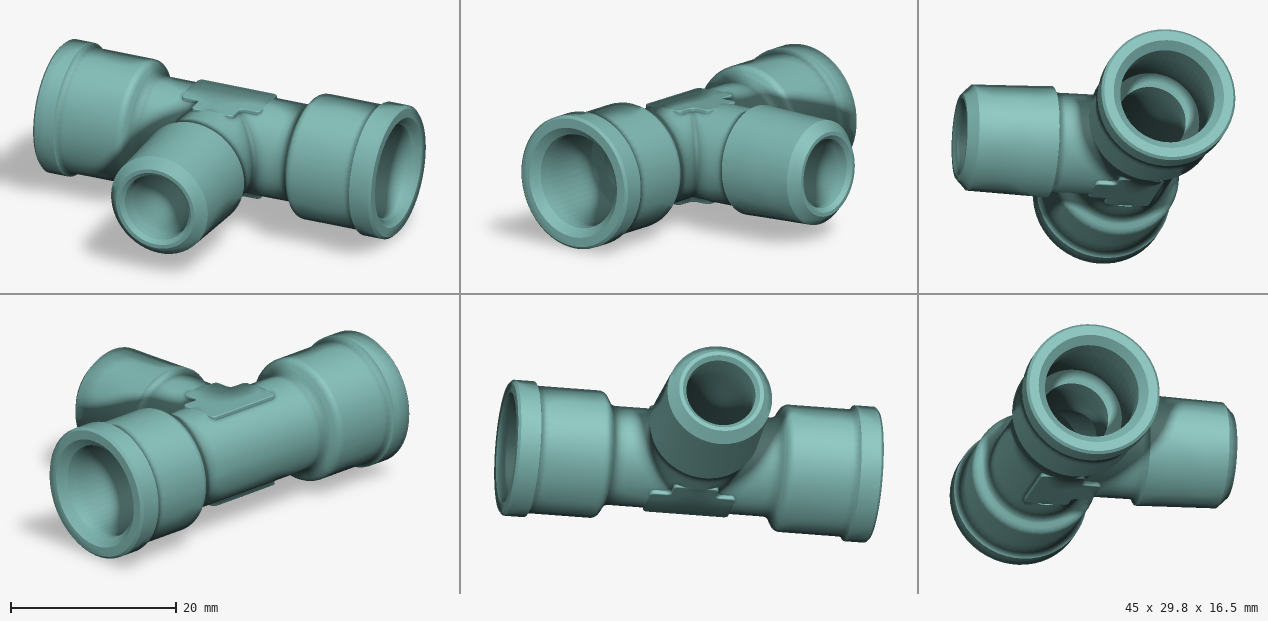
import cadquery as cq
import math

run_length = 45.0
run_end = run_length / 2
overall_depth = 29.75
neck_radius = 12.0 / 2
bore_radius = 8.5 / 2

collar_radius = 16.5 / 2
branch_end = overall_depth - collar_radius
collar_width = 2.8
collar_chamfer = 0.3
collar_fillet = 0.75
socket_radius = 15.5 / 2
socket_length = 11.4
shoulder_angle = math.radians(60)
shoulder_fillet = 1.0
socket_bore_radius = 11.6 / 2
socket_bore_depth = 10.8
socket_mouth_radius = 6.8
drill_point_half_angle = math.radians(68)

thread_start = 10.45
thread_radius = 6.75
thread_taper = 1 / 16
thread_fillet = 0.85
rear_face_inner_radius = 6.5
rear_face_depth = 0.1
tip_chamfer = 1.2
mouth_chamfer = 0.5

pad_height = 5.9
pad_root_height = 4.05
pad_half_length = 5.25
pad_half_width = 2.75
pad_stem_reach = 5.2
pad_corner_radius = 0.6
pad_edge_fillet = 0.15
crease_fillet = 0.45


def fillet_reach(radius, step):
    """Axial length of a concave fillet cut off by a step lower than its radius."""
    return math.sqrt(radius**2 - (radius - step) ** 2)


def fillet_middle(radius, step, tangent_x, base_radius):
    """Point halfway along a concave fillet that starts tangent to a cylinder."""
    half_sweep = math.acos((radius - step) / radius) / 2
    along = radius * math.sin(half_sweep)
    rise = radius * (1 - math.cos(half_sweep))
    return (tangent_x + along, base_radius + rise)


def make_run_half():
    """Half of the run from the centre to +X, without its bore."""
    collar_start = run_end - collar_width
    collar_step = collar_radius - socket_radius
    tangent_x = collar_start - fillet_reach(collar_fillet, collar_step)
    shoulder_top = run_end - socket_length
    shoulder_bottom = shoulder_top - (socket_radius - neck_radius) / math.tan(shoulder_angle)
    half = (
        cq.Workplane("XY")
        .moveTo(0, 0)
        .lineTo(0, neck_radius)
        .lineTo(shoulder_bottom, neck_radius)
        .lineTo(shoulder_top, socket_radius)
        .lineTo(tangent_x, socket_radius)
        .threePointArc(
            fillet_middle(collar_fillet, collar_step, tangent_x, socket_radius),
            (collar_start, collar_radius),
        )
        .lineTo(run_end - collar_chamfer, collar_radius)
        .lineTo(run_end, collar_radius - collar_chamfer)
        .lineTo(run_end, 0)
        .close()
        .revolve(360, (0, 0, 0), (1, 0, 0))
    )
    margin = 0.05
    shoulder_edges = cq.selectors.BoxSelector(
        (shoulder_bottom - margin, -collar_radius, -collar_radius),
        (shoulder_top + margin, collar_radius, collar_radius),
    )
    return half.edges("%CIRCLE").edges(shoulder_edges).fillet(shoulder_fillet)


def make_branch():
    """Branch neck and tapered male end, without its bore."""
    rear_step = rear_face_inner_radius - neck_radius
    rear_face_x = thread_start - rear_face_depth
    tangent_x = rear_face_x - fillet_reach(thread_fillet, rear_step)
    chamfer_start = branch_end - tip_chamfer
    small_radius = thread_radius - (chamfer_start - thread_start) * thread_taper / 2
    return (
        cq.Workplane("XY")
        .moveTo(0, 0)
        .lineTo(0, neck_radius)
        .lineTo(tangent_x, neck_radius)
        .threePointArc(
            fillet_middle(thread_fillet, rear_step, tangent_x, neck_radius),
            (rear_face_x, rear_face_inner_radius),
        )
        .lineTo(thread_start, thread_radius)
        .lineTo(chamfer_start, small_radius)
        .lineTo(branch_end, small_radius - tip_chamfer)
        .lineTo(branch_end, 0)
        .close()
        .revolve(360, (0, 0, 0), (1, 0, 0))
        .rotate((0, 0, 0), (0, 0, 1), -90)
    )


def pad_prism(bottom, top):
    """Upright T-shaped prism with rounded corners."""
    bar = cq.Workplane("XY").box(2 * pad_half_length, 2 * pad_half_width, top - bottom)
    stem = (
        cq.Workplane("XY")
        .center(0, -pad_stem_reach / 2)
        .box(2 * pad_half_width, pad_stem_reach, top - bottom)
    )
    prism = bar.union(stem).translate((0, 0, (bottom + top) / 2))
    return prism.edges("|Z").fillet(pad_corner_radius)


def make_socket_bore():
    """Bore of the +X socket: flared mouth, straight wall and drill-point floor."""
    mouth_depth = socket_mouth_radius - socket_bore_radius
    floor = run_end - socket_bore_depth
    floor_depth = (socket_bore_radius - bore_radius) / math.tan(drill_point_half_angle)
    return (
        cq.Workplane("XY")
        .polyline([
            (0, 0),
            (0, bore_radius),
            (floor - floor_depth, bore_radius),
            (floor, socket_bore_radius),
            (run_end - mouth_depth, socket_bore_radius),
            (run_end, socket_mouth_radius),
            (run_end, 0),
        ])
        .close()
        .revolve(360, (0, 0, 0), (1, 0, 0))
    )


def make_branch_bore():
    """Bore of the branch with a chamfered mouth."""
    return (
        cq.Workplane("XY")
        .polyline([
            (0, 0),
            (0, bore_radius),
            (branch_end - mouth_chamfer, bore_radius),
            (branch_end, bore_radius + mouth_chamfer),
            (branch_end, 0),
        ])
        .close()
        .revolve(360, (0, 0, 0), (1, 0, 0))
        .rotate((0, 0, 0), (0, 0, 1), -90)
    )


run_half = make_run_half()
body = run_half.union(run_half.mirror("YZ")).union(make_branch())

pad = pad_prism(pad_root_height, pad_height)
pad = pad.faces(">Z").edges().fillet(pad_edge_fillet)
crown_cut = pad_prism(pad_height, collar_radius)
for side in (pad, pad.mirror("XY")):
    body = body.union(side)
for side in (crown_cut, crown_cut.mirror("XY")):
    body = body.cut(side)

body = body.edges("%ELLIPSE").fillet(crease_fillet)

socket_bore = make_socket_bore()
for bore in (socket_bore, socket_bore.mirror("YZ"), make_branch_bore()):
    body = body.cut(bore)

result = body